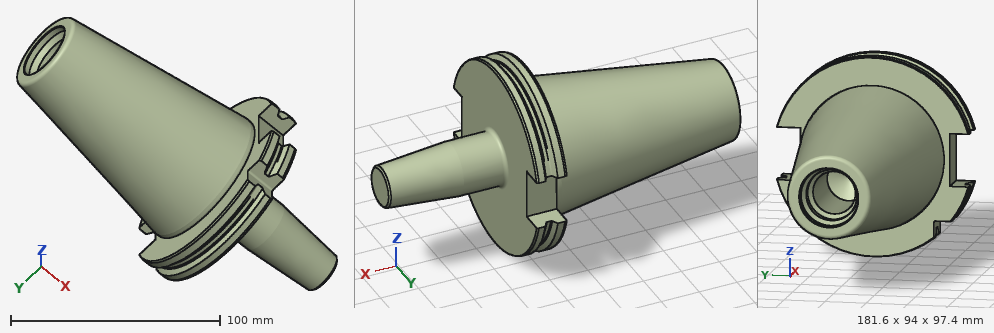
import cadquery as cq
import math

taper_end = 101.0
collar_start = 102.0
collar_end = 103.7
flange_start = 104.8
flange_end = 120.8
nose_cone_start = 143.6
total_length = 181.6

taper_slope = 7 / 48
taper_end_radius = 34.9
taper_small_radius = taper_end_radius - taper_end * taper_slope
taper_rim_round = 2.0
collar_radius = 35.0

flange_radius = 48.7
flange_chamfer = 1.0
flange_chamfer_depth = 0.4
groove_floor_radius = 45.5
groove_root_fillet = 0.7
groove_floor_start = 111.5
groove_floor_end = 114.4
groove_wall_angle = 30
groove_wall_run = (flange_radius - groove_floor_radius) * math.tan(math.radians(groove_wall_angle))

nose_radius = 13.53
nose_root_fillet = 2.0
nose_tip_radius = 10.5
nose_tip_chamfer = 0.9

mouth_radius = 14.5
mouth_chamfer = 0.4
mouth_depth = 3.5
pilot_radius = 12.3
pilot_depth = 10.4
pilot_step = 0.27
mouth_cone_angle = 30
core_cone_angle = 35
core_radius = 10.4
core_depth = 47.2
drill_point_angle = 118
drill_point_length = core_radius / math.tan(math.radians(drill_point_angle / 2))

slot_width = 25.6
slot_floor_front = 37.6
slot_floor_back = 35.2
notch_y = 29.8
notch_z = 30.0
notch_round = 1.0
cut_reach = 2 * flange_radius


def revolve_about_x(profile):
    """Turn a closed (x, radius) profile around the X axis."""
    return profile.close().revolve(360, (0, 0, 0), (1, 0, 0))


def make_taper_and_collar():
    body = revolve_about_x(
        cq.Workplane("XY")
        .lineTo(0, taper_small_radius)
        .lineTo(taper_end, taper_end_radius)
        .lineTo(collar_start, collar_radius)
        .lineTo(collar_end, collar_radius)
        .lineTo(flange_start, taper_end_radius)
        .lineTo(flange_start, 0)
    )
    return body.faces("<X").edges().fillet(taper_rim_round)


def make_flange():
    rim_radius = flange_radius - flange_chamfer_depth
    flange = revolve_about_x(
        cq.Workplane("XY")
        .moveTo(flange_start, 0)
        .lineTo(flange_start, rim_radius)
        .lineTo(flange_start + flange_chamfer, flange_radius)
        .lineTo(groove_floor_start - groove_wall_run, flange_radius)
        .lineTo(groove_floor_start, groove_floor_radius)
        .lineTo(groove_floor_end, groove_floor_radius)
        .lineTo(groove_floor_end + groove_wall_run, flange_radius)
        .lineTo(flange_end - flange_chamfer, flange_radius)
        .lineTo(flange_end, rim_radius)
        .lineTo(flange_end, 0)
    )
    groove_roots = flange.edges(cq.selectors.RadiusNthSelector(0))
    return groove_roots.fillet(groove_root_fillet)


def make_nose():
    root_radius = nose_radius + nose_root_fillet
    arc_offset = nose_root_fillet * (1 - math.sqrt(0.5))
    return revolve_about_x(
        cq.Workplane("XY")
        .moveTo(flange_end, 0)
        .lineTo(flange_end, root_radius)
        .threePointArc(
            (flange_end + arc_offset, nose_radius + arc_offset),
            (flange_end + nose_root_fillet, nose_radius),
        )
        .lineTo(nose_cone_start, nose_radius)
        .lineTo(total_length - nose_tip_chamfer, nose_tip_radius)
        .lineTo(total_length, nose_tip_radius - nose_tip_chamfer)
        .lineTo(total_length, 0)
    )


def cone_length(large_radius, small_radius, half_angle):
    """Axial length of a lead-in cone in the bore."""
    return (large_radius - small_radius) / math.tan(math.radians(half_angle))


def make_bore():
    mouth_bore_radius = mouth_radius - mouth_chamfer
    pilot_start = mouth_depth + cone_length(mouth_bore_radius, pilot_radius, mouth_cone_angle)
    step_end = pilot_depth + pilot_step
    step_radius = pilot_radius - pilot_step
    core_start = step_end + cone_length(step_radius, core_radius, core_cone_angle)
    return revolve_about_x(
        cq.Workplane("XY")
        .lineTo(0, mouth_radius)
        .lineTo(mouth_chamfer, mouth_bore_radius)
        .lineTo(mouth_depth, mouth_bore_radius)
        .lineTo(pilot_start, pilot_radius)
        .lineTo(pilot_depth, pilot_radius)
        .lineTo(step_end, step_radius)
        .lineTo(core_start, core_radius)
        .lineTo(core_depth, core_radius)
        .lineTo(core_depth + drill_point_length, 0)
    )


def make_drive_slot(side, floor_distance):
    """Rectangular slot through the flange; side is +1 for +Y and -1 for -Y."""
    center_x = (flange_start + flange_end) / 2
    center_y = side * (floor_distance + cut_reach / 2)
    return (
        cq.Workplane("XY")
        .box(flange_end - flange_start, cut_reach, slot_width)
        .translate((center_x, center_y, 0))
    )


def make_corner_notch():
    """Square notch in the -Y, -Z quarter with a rounded inner corner."""
    notch = cq.Workplane("XY").box(
        flange_end - flange_start, cut_reach, cut_reach, centered=False
    )
    notch = notch.translate((flange_start, -notch_y - cut_reach, -notch_z - cut_reach))
    return notch.edges("|X and >Y and >Z").fillet(notch_round)


result = (
    make_taper_and_collar()
    .union(make_flange())
    .union(make_nose())
    .cut(make_bore())
    .cut(make_drive_slot(-1, slot_floor_front))
    .cut(make_drive_slot(1, slot_floor_back))
    .cut(make_corner_notch())
)